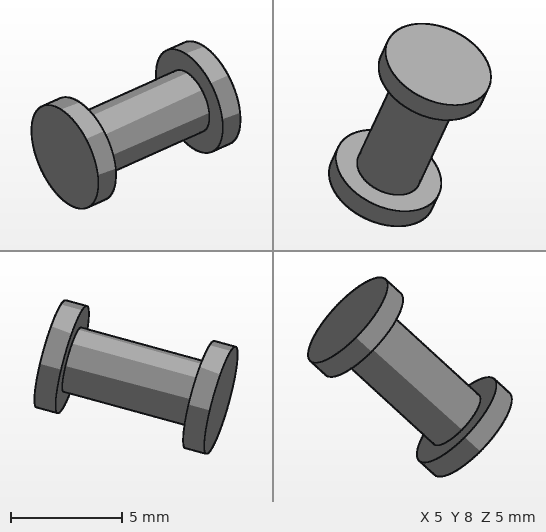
import cadquery as cq

total_length = 8.0
flange_diameter = 5.0
flange_thickness = 1.0
shaft_diameter = 3.0


def cylinder_along_y(diameter, length, start_y):
    """Solid cylinder on the Y axis, growing from start_y toward +Y."""
    plane = cq.Plane(origin=(0, start_y, 0), xDir=(1, 0, 0), normal=(0, 1, 0))
    return cq.Workplane(plane).circle(diameter / 2).extrude(length)


front_y = -total_length / 2
back_flange_y = total_length / 2 - flange_thickness

result = cylinder_along_y(shaft_diameter, total_length, front_y)
for flange_y in (front_y, back_flange_y):
    result = result.union(cylinder_along_y(flange_diameter, flange_thickness, flange_y))